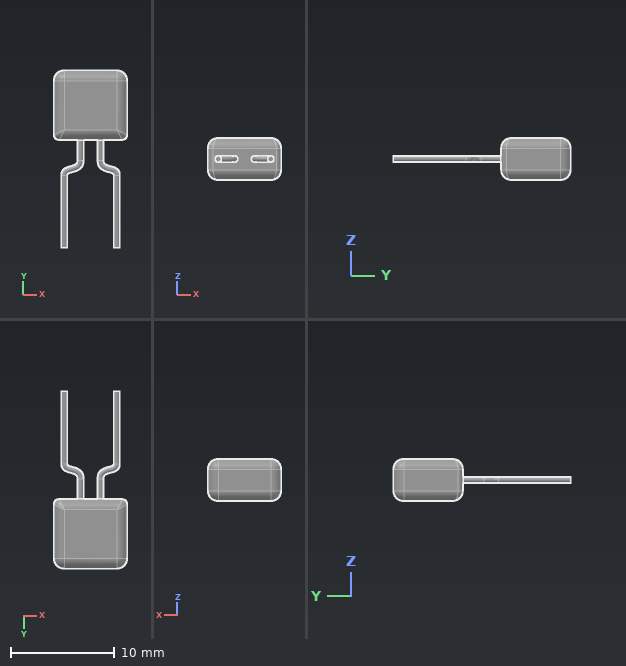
import cadquery as cq

total_length = 17.16
case_width = 7.1
case_depth = 6.75
case_height = 4.08
main_radius = 1.01
lead_side_corner_radius = 0.5

lead_diameter = 0.62
stub_offset = 0.96
leg_offset = 2.54
stub_length = 1.97
bend_length = 1.45
bend_middle_offset = 1.77
bend_middle_drop = 0.82
lead_tip_y = case_depth - total_length


def make_case():
    """Block with large rounds, and smaller rounds up the two corners on the lead side."""
    block = cq.Workplane("XY").box(case_width, case_depth, case_height)
    block = block.translate((0, case_depth / 2, 0))
    rounded = block.edges("(|X) or (|Y) or (|Z and >Y)").fillet(main_radius)
    corners = rounded.edges("|Z and <Y")
    return corners.fillet(lead_side_corner_radius)


def make_lead(side):
    """Round wire swept along its bent centre line; side is -1 or +1."""
    bend_start = (side * stub_offset, -stub_length)
    bend_middle = (side * bend_middle_offset, -stub_length - bend_middle_drop)
    bend_end = (side * leg_offset, -stub_length - bend_length)
    along_lead = (0, -1)
    path = (
        cq.Workplane("XY")
        .moveTo(side * stub_offset, 0)
        .lineTo(*bend_start)
        .spline([bend_middle, bend_end], tangents=[along_lead, along_lead], includeCurrent=True)
        .lineTo(side * leg_offset, lead_tip_y)
    )
    section = cq.Workplane("XZ").center(side * stub_offset, 0).circle(lead_diameter / 2)
    return section.sweep(path)


case = make_case()
leads = [make_lead(side) for side in (-1, 1)]

result = cq.Compound.makeCompound([case.val(), *[lead.val() for lead in leads]])